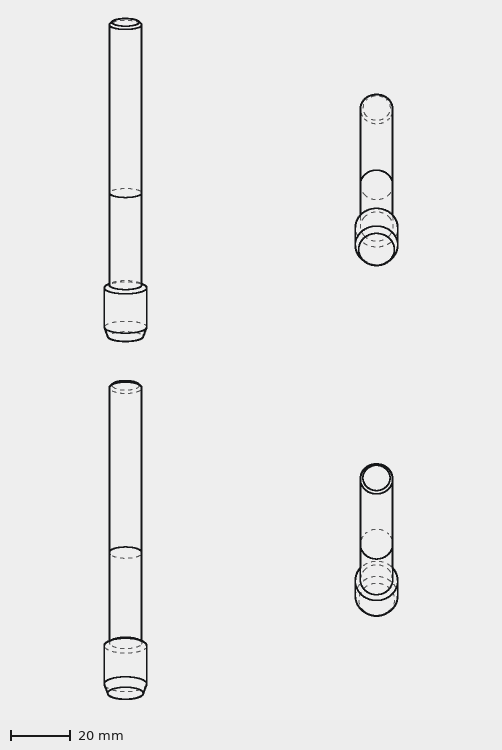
import cadquery as cq

total_length = 110.0
rod_diameter = 10.9
rod_tip_chamfer = 0.9
upper_rod_length = 59.7
collar_diameter = 14.3
collar_bottom_diameter = 12.0
collar_taper_height = 3.3
collar_shoulder_z = 17.0
collar_top_z = 18.0

rod_radius = rod_diameter / 2
collar_radius = collar_diameter / 2
joint_z = total_length - upper_rod_length


def make_upper_rod():
    """Plain cylindrical rod with a chamfered free end."""
    return (
        cq.Workplane("XY")
        .workplane(offset=joint_z)
        .circle(rod_radius)
        .extrude(upper_rod_length)
        .faces(">Z")
        .chamfer(rod_tip_chamfer)
    )


def make_collared_shank():
    """Shank that carries the rod, with a tapered collar at its lower end."""
    half_profile = [
        (0, 0),
        (collar_bottom_diameter / 2, 0),
        (collar_radius, collar_taper_height),
        (collar_radius, collar_shoulder_z),
        (rod_radius, collar_top_z),
        (rod_radius, joint_z),
        (0, joint_z),
    ]
    return (
        cq.Workplane("XZ")
        .polyline(half_profile)
        .close()
        .revolve(360, (0, 0, 0), (0, 1, 0))
    )


upper_rod = make_upper_rod()
collared_shank = make_collared_shank()

result = cq.Compound.makeCompound([upper_rod.val(), collared_shank.val()])